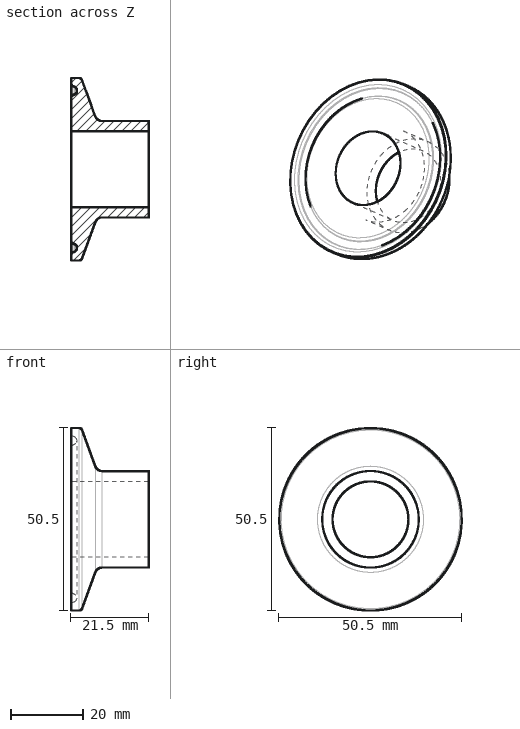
import math

import cadquery as cq

total_length = 21.5
flange_radius = 50.5 / 2
tube_radius = 26.7 / 2
bore_radius = 20.9 / 2

rim_thickness = 2.85
cone_angle = 20.0
face_edge_chamfer = 0.15
rim_back_fillet = 0.85
tube_root_fillet = 2.0

groove_center_radius = 43.5 / 2
groove_depth = 1.6
groove_floor_radius = 1.15
groove_lip_radius = 0.85
groove_wall_angle = 68.0


def make_body():
    """Solid flange, cone and tube, with rounded rim and tube root."""
    cone_length = (flange_radius - tube_radius) * math.tan(math.radians(cone_angle))
    cone_end = rim_thickness + cone_length
    body = (
        cq.Workplane("XZ")
        .moveTo(0, 0)
        .lineTo(0, flange_radius - face_edge_chamfer)
        .lineTo(face_edge_chamfer, flange_radius)
        .lineTo(rim_thickness, flange_radius)
        .lineTo(cone_end, tube_radius)
        .lineTo(total_length, tube_radius)
        .lineTo(total_length, 0)
        .close()
        .revolve(360, (0, 0, 0), (1, 0, 0))
    )
    rim_corner = cq.selectors.NearestToPointSelector((rim_thickness, 0, 0))
    root_corner = cq.selectors.NearestToPointSelector((cone_end, 0, 0))
    body = body.edges("%CIRCLE").edges(root_corner).fillet(tube_root_fillet)
    return body.edges("%CIRCLE").edges(rim_corner).fillet(rim_back_fillet)


def make_groove():
    """Ring of material removed by the gasket groove."""
    angle = math.radians(groove_wall_angle)
    half_angle = angle / 2
    wall_foot_offset = groove_floor_radius * math.sin(angle)
    wall_foot_depth = groove_depth - groove_floor_radius * (1 - math.cos(angle))
    wall_top_depth = groove_lip_radius * (1 - math.cos(angle))
    wall_top_offset = wall_foot_offset + (wall_foot_depth - wall_top_depth) / math.tan(angle)
    lip_offset = wall_top_offset + groove_lip_radius * math.sin(angle)
    lip_mid_offset = lip_offset - groove_lip_radius * math.sin(half_angle)
    lip_mid_depth = groove_lip_radius * (1 - math.cos(half_angle))

    def at(depth, offset):
        return (depth, groove_center_radius + offset)

    return (
        cq.Workplane("XZ")
        .moveTo(*at(0, -lip_offset))
        .threePointArc(at(lip_mid_depth, -lip_mid_offset), at(wall_top_depth, -wall_top_offset))
        .lineTo(*at(wall_foot_depth, -wall_foot_offset))
        .threePointArc(at(groove_depth, 0), at(wall_foot_depth, wall_foot_offset))
        .lineTo(*at(wall_top_depth, wall_top_offset))
        .threePointArc(at(lip_mid_depth, lip_mid_offset), at(0, lip_offset))
        .close()
        .revolve(360, (0, 0, 0), (1, 0, 0))
    )


def make_bore():
    """Straight through bore along X."""
    return cq.Workplane("YZ").circle(bore_radius).extrude(total_length)


result = make_body().cut(make_groove()).cut(make_bore())